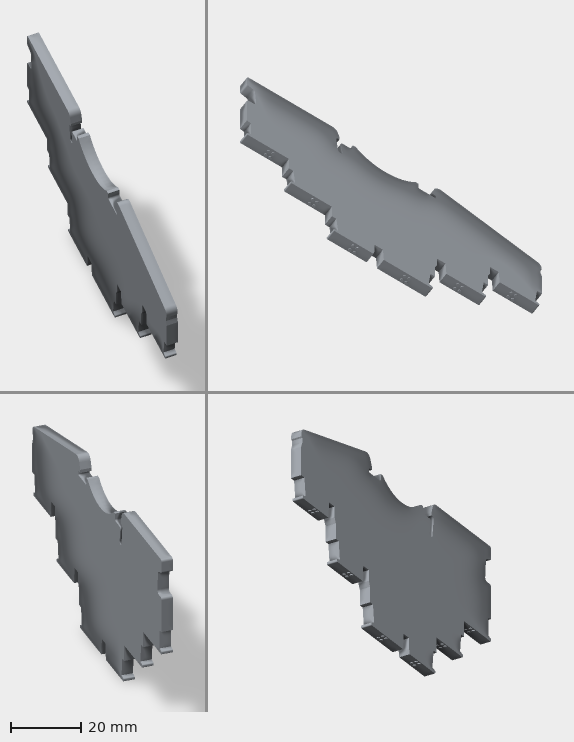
import cadquery as cq
import math

length = 102.0
thickness = 3.5
plate_height = 54.7

tier_count = 3
tier_rise = 12.0

lip_height = 0.9
waist_bottom = 1.3
shoulder_height = 7.0
lip_radius = 0.3

left_tip = 30.0
left_wall = 29.4
left_step = 14.84
waist_inset = 1.5
waist_lean = 0.6
top_left_waist = 1.4
top_left_shoulder_rise = 0.3

right_tip = 64.3
right_step = 18.41
right_waist_inset = 1.4
right_shoulder_reach = 0.7

notch_height = 5.1
notch_width = 3.0
bottom_notch_left = 44.1
side_notch_left = 65.7
notch_flare = 0.3
notch_flare_height = 1.6

corner_radius = 0.7
block_right = 30.9
block_radius = 1.8
recess_top = 50.5
recess_bottom = 42.4
recess_depth = 3.3
recess_neck_depth = 2.8
recess_top_drop = 0.9
recess_radius = 1.0
recess_edge_radius = 0.6

hook_height = 50.2
hook_face_height = 51.2
left_hook = 32.0
right_hook = 64.1
shelf_height = 48.8
slot_bottom = 43.2
slot_foot_left = 31.6
slot_foot_right = 33.2
slot_top_left = 30.8
slot_top_right = 32.3
slot_corner_radius = 0.8
slot_roundness = 0.45
undercut_right = 65.6
undercut_radius = 0.3
hook_underside_drop = 0.2

saddle_left = 36.6
saddle_right = 59.3
saddle_height = 51.1
saddle_bottom = 47.0
saddle_foot_radius = 0.5
scoop_half_width = 10.3

slope_start = 65.5
slope_start_height = 55.1
slope_end_height = 46.2
slope_left_radius = 2.1
slope_right_radius = 1.8
right_side_top = 101.8
right_dent = 0.36
right_dent_top = 43.8
right_dent_bottom = 41.8
right_side_start = 40.3

knob_diameter = 1.0
knob_height = 0.3
knob_pitch = 1.5
knob_group_y = 1.9
knob_overlap = 0.2
left_knob_groups = (38.2, 24.3, 9.1)
right_knob_group = 56.1


def sharp(*points):
    """Corners without rounding, as (x, z, radius)."""
    return [(x, z, 0.0) for x, z in points]


def left_tier(tier):
    """Left foot and the wall above it, going up."""
    base = tier * tier_rise
    tip = left_tip - tier * left_step
    wall = left_wall - tier * left_step
    shoulder = base + shoulder_height
    waist_top = wall + waist_inset
    waist_low = waist_top + waist_lean
    wall_bottom = shoulder
    if tier == tier_count - 1:
        tip = wall = 0.0
        waist_top = waist_low = top_left_waist
        wall_bottom = shoulder + top_left_shoulder_rise
    foot = [(tip, base, lip_radius), (tip, base + lip_height, lip_radius)]
    foot += sharp((waist_low, base + waist_bottom), (waist_top, shoulder), (wall, wall_bottom))
    if tier < tier_count - 1:
        foot += sharp((wall, base + tier_rise))
    return foot


def right_tier(tier):
    """Right foot, going down from its shoulder and back to the notch inboard of it."""
    base = tier * tier_rise
    tip = right_tip + tier * right_step
    wall = tip + right_shoulder_reach
    if tier == tier_count - 1:
        wall = length
    waist_low = tip - right_waist_inset
    shoulder = base + shoulder_height
    foot = sharp((wall, shoulder), (waist_low + waist_lean, shoulder), (waist_low, base + waist_bottom))
    foot += [(tip, base + lip_height, lip_radius), (tip, base, lip_radius)]

    notch_left = bottom_notch_left
    if tier > 0:
        notch_left = side_notch_left + (tier - 1) * right_step
    notch_right = notch_left + notch_width
    notch_top = base + notch_height
    foot += sharp(
        (notch_right + notch_flare, base),
        (notch_right, notch_top),
        (notch_left, notch_top),
        (notch_left, base + notch_flare_height),
    )
    if tier == 0:
        foot += sharp((notch_left - notch_flare, base))
    else:
        next_wall = right_tip + (tier - 1) * right_step + right_shoulder_reach
        foot += sharp((next_wall, base))
    return foot


def upper_left():
    """Finger recess, flat top and left snap hook, ending at the latch slot."""
    return [
        (0.0, recess_bottom, corner_radius),
        (recess_depth, recess_bottom, recess_radius),
        (recess_neck_depth, recess_top - recess_top_drop, recess_radius),
        (0.0, recess_top, recess_edge_radius),
        (0.0, plate_height, corner_radius),
        (block_right, plate_height, block_radius),
        (left_hook, hook_face_height, 0.0),
        (left_hook, hook_height, 0.0),
    ]


def latch_and_saddle():
    """Latch slot, shelf, raised saddle and the undercut below the right hook."""
    slot_radius = slot_roundness * (slot_foot_right - slot_foot_left)
    return [
        (slot_top_left, hook_height - hook_underside_drop, slot_corner_radius),
        (slot_foot_left, slot_bottom, slot_radius),
        (slot_foot_right, slot_bottom, slot_radius),
        (slot_top_right, shelf_height, slot_corner_radius),
        (saddle_left, shelf_height, saddle_foot_radius),
        (saddle_left, saddle_height, 0.0),
        (saddle_right, saddle_height, 0.0),
        (saddle_right, shelf_height, saddle_foot_radius),
        (undercut_right, shelf_height, undercut_radius),
        (undercut_right, hook_height - hook_underside_drop, undercut_radius),
    ]


def upper_right():
    """Right snap hook, sloping top and the dented right side."""
    return [
        (right_hook, hook_height, 0.0),
        (right_hook, hook_face_height, 0.0),
        (slope_start, slope_start_height, slope_left_radius),
        (right_side_top, slope_end_height, slope_right_radius),
        (right_side_top, right_dent_top, 0.0),
        (right_side_top - right_dent, right_dent_top - right_dent, 0.0),
        (right_side_top - right_dent, right_dent_bottom, 0.0),
        (length, right_side_start, 0.0),
    ]


def rounded_corner(before, corner, after):
    """Start, middle and end of the arc that rounds a corner of the outline."""
    x, z, radius = corner
    to_before = cq.Vector(before[0] - x, before[1] - z).normalized()
    to_after = cq.Vector(after[0] - x, after[1] - z).normalized()
    half_angle = to_before.getAngle(to_after) / 2
    vertex = cq.Vector(x, z)
    setback = radius / math.tan(half_angle)
    bisector = (to_before + to_after).normalized()
    middle = vertex + bisector * (radius / math.sin(half_angle) - radius)
    points = (vertex + to_before * setback, middle, vertex + to_after * setback)
    return [point.toTuple()[:2] for point in points]


def plate_from(corners):
    """Extrude a closed outline of (x, z, radius) corners; the first corner is sharp."""
    outline = cq.Workplane("XZ").moveTo(*corners[0][:2])
    for index in range(1, len(corners)):
        corner = corners[index]
        if corner[2] == 0.0:
            outline = outline.lineTo(*corner[:2])
            continue
        after = corners[(index + 1) % len(corners)]
        start, middle, end = rounded_corner(corners[index - 1], corner, after)
        outline = outline.lineTo(*start).threePointArc(middle, end)
    return outline.close().extrude(-thickness)


def scoop():
    """Cylinder that hollows the saddle, from its depth and half width."""
    depth = saddle_height - saddle_bottom
    radius = (scoop_half_width**2 + depth**2) / (2 * depth)
    center_x = (saddle_left + saddle_right) / 2
    return (
        cq.Workplane("XZ")
        .center(center_x, saddle_bottom + radius)
        .circle(radius)
        .extrude(-thickness)
    )


def knobs(center_x, base):
    """Two by two group of round knobs under a foot."""
    return (
        cq.Workplane("XY", origin=(center_x, knob_group_y, base - knob_height))
        .rarray(knob_pitch, knob_pitch, 2, 2)
        .circle(knob_diameter / 2)
        .extrude(knob_height + knob_overlap)
    )


corners = sharp((bottom_notch_left - notch_flare, 0.0))
for tier in range(tier_count):
    corners += left_tier(tier)
corners += upper_left() + latch_and_saddle() + upper_right()
for tier in reversed(range(tier_count)):
    corners += right_tier(tier)
corners.pop()

result = plate_from(corners).cut(scoop())
for tier in range(tier_count):
    result = result.union(knobs(left_knob_groups[tier], tier * tier_rise))
    result = result.union(knobs(right_knob_group + tier * right_step, tier * tier_rise))